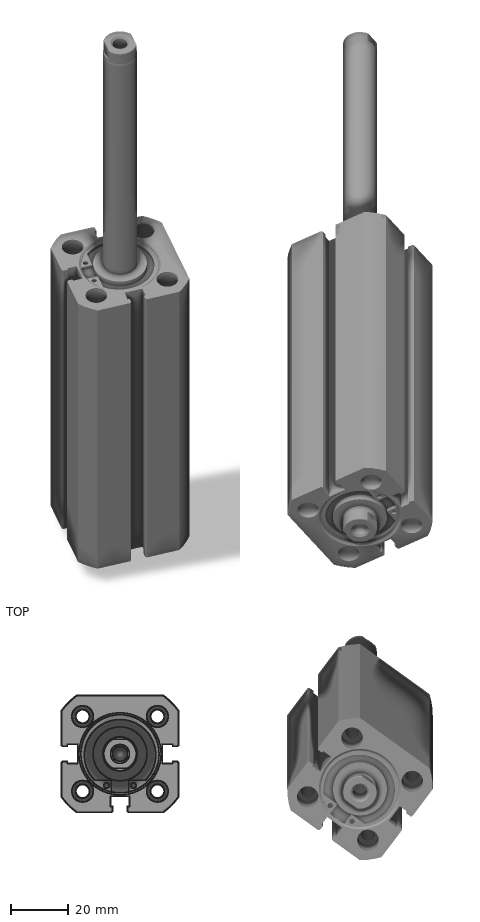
import cadquery as cq
import math

rod_length = 235.0
rod_diameter = 12.0
neck_diameter = 11.8
rod_radius = rod_diameter / 2
neck_radius = neck_diameter / 2
neck_length = 5.0
neck_shoulder = 0.7
rod_end_chamfer = 0.2
flat_distance = 10.0
flat_length = 4.0
thread_radius = 2.5
thread_depth = 11.8
thread_chamfer = 0.7
drill_tip_angle = 118.0

body_width = 41.0
body_bottom = 6.0
body_length = 123.4
body_top = body_bottom + body_length
body_middle = body_bottom + body_length / 2
half_width = body_width / 2
corner_radius = 25.4

slot_opening = 5.2
slot_width = 6.5
slot_lip = 2.0
slot_mouth_chamfer = 0.5
slot_depth = 5.6

screw_spacing = 26.0
screw_hole_diameter = 4.7
counterbore_diameter = 7.5
counterbore_depth = 10.0

bore_radius = 13.6
bore_chamfer = 0.7
groove_diameter = 29.4
groove_radius = groove_diameter / 2
groove_width = 1.5
groove_inset = 0.82
groove_bottom = body_top - groove_inset - groove_width

collar_length = 14.0
boss_radius = 9.5
boss_height = body_top - groove_bottom
ring_inner_radius = 12.5
ring_inner_y = -0.5
ring_gap = 6.0
ear_outer_radius = 13.5
ear_inner_y = -9.2
ear_end_x = 10.0
ear_hole_x = 4.7
ear_hole_y = -11.0
ear_hole_diameter = 1.9


def cylinder(radius, bottom, height):
    return cq.Workplane("XY").workplane(offset=bottom).circle(radius).extrude(height)


def revolve_outline(points):
    """Turn an outline of (radius, height) points about the Z axis."""
    return cq.Workplane("XZ").polyline(points).close().revolve(360, (0, 0, 0), (0, 1, 0))


def at_both_ends(upper, middle):
    """Return a shape and its mirror image below the height `middle`."""
    return [upper, upper.mirror("XY", (0, 0, middle))]


def make_slot():
    """Cutter for a slot in the -Y side: chamfered mouth, narrow lip, wider channel."""
    opening = slot_opening / 2
    mouth = opening + slot_mouth_chamfer
    channel = slot_width / 2
    outer_y = -half_width
    lip_y = outer_y + slot_lip
    floor_y = outer_y + slot_depth
    right_side = [
        (mouth, outer_y),
        (opening, outer_y + slot_mouth_chamfer),
        (opening, lip_y),
        (channel, lip_y),
        (channel, floor_y),
    ]
    left_side = [(-x, y) for x, y in reversed(right_side)]
    outline = cq.Workplane("XY").workplane(offset=body_bottom).polyline(right_side + left_side)
    return outline.close().extrude(body_length)


def make_bore():
    """Cutter for the bore, its end chamfers and the two ring grooves."""
    bore = cylinder(bore_radius, body_bottom, body_length)
    mouth_outline = [
        (0, body_top - bore_chamfer),
        (bore_radius, body_top - bore_chamfer),
        (bore_radius + bore_chamfer, body_top),
        (0, body_top),
    ]
    mouth = revolve_outline(mouth_outline)
    groove = cylinder(groove_radius, groove_bottom, groove_width)
    for cutter in at_both_ends(mouth, body_middle) + at_both_ends(groove, body_middle):
        bore = bore.union(cutter)
    return bore


def corner_cylinders(diameter, bottom, height):
    """Four cylinders, one on each screw axis."""
    plane = cq.Workplane("XY").workplane(offset=bottom)
    corners = plane.rect(screw_spacing, screw_spacing, forConstruction=True).vertices()
    return corners.circle(diameter / 2).extrude(height)


def make_screw_holes():
    """Cutter for four through holes, counterbored from both ends."""
    holes = corner_cylinders(screw_hole_diameter, body_bottom, body_length)
    counterbores = corner_cylinders(counterbore_diameter, body_top - counterbore_depth, counterbore_depth)
    for cutter in at_both_ends(counterbores, body_middle):
        holes = holes.union(cutter)
    return holes


def make_housing():
    block = cq.Workplane("XY").box(body_width, body_width, body_length)
    block = block.translate((0, 0, body_middle))
    block = block.intersect(cylinder(corner_radius, body_bottom, body_length))
    block = block.cut(make_bore()).cut(make_screw_holes())
    for angle in (-90, 0, 90):
        block = block.cut(make_slot().rotate((0, 0, 0), (0, 0, 1), angle))
    return block


def make_rod():
    """Rod with a necked, flatted and tapped end at each end."""
    middle = rod_length / 2
    shoulder_z = rod_length - neck_length
    tip_height = thread_radius / math.tan(math.radians(drill_tip_angle / 2))
    half_outline = [
        (0, middle),
        (rod_radius, middle),
        (rod_radius, shoulder_z - neck_shoulder),
        (neck_radius, shoulder_z),
        (neck_radius, rod_length - rod_end_chamfer),
        (neck_radius - rod_end_chamfer, rod_length),
        (thread_radius + thread_chamfer, rod_length),
        (thread_radius, rod_length - thread_chamfer),
        (thread_radius, rod_length - thread_depth),
        (0, rod_length - thread_depth - tip_height),
    ]
    half = revolve_outline(half_outline)
    for side in (-1, 1):
        flat = cq.Workplane("XY").box(2 * rod_radius, rod_radius, flat_length)
        flat_y = side * (flat_distance + rod_radius) / 2
        half = half.cut(flat.translate((0, flat_y, rod_length - flat_length / 2)))
    upper, lower = at_both_ends(half, middle)
    return upper.union(lower)


def make_collar():
    """Upper collar: a disc under the retaining ring, with a boss level with the housing end."""
    disc_bottom = groove_bottom - collar_length
    disc = cylinder(bore_radius, disc_bottom, collar_length)
    boss = cylinder(boss_radius, groove_bottom, boss_height)
    rod_hole = cylinder(rod_radius, disc_bottom, collar_length + boss_height)
    return disc.union(boss).cut(rod_hole)


def make_retaining_ring():
    """Upper retaining ring: open towards -Y, with an eared tip on each side of the gap."""
    plane = cq.Workplane("XY").workplane(offset=groove_bottom)
    ring = cylinder(groove_radius, groove_bottom, groove_width)
    opening = cylinder(ring_inner_radius, groove_bottom, groove_width)
    ring = ring.cut(opening.translate((0, ring_inner_y, 0)))
    ear_height = ear_outer_radius + ear_inner_y
    ears = plane.center(0, ear_inner_y - ear_height / 2).rect(2 * ear_end_x, ear_height).extrude(groove_width)
    ears = ears.intersect(cylinder(ear_outer_radius, groove_bottom, groove_width))
    gap = plane.center(0, -groove_radius / 2).rect(ring_gap, groove_radius).extrude(groove_width)
    hole_centres = [(-ear_hole_x, ear_hole_y), (ear_hole_x, ear_hole_y)]
    ear_holes = plane.pushPoints(hole_centres).circle(ear_hole_diameter / 2).extrude(groove_width)
    return ring.union(ears).cut(gap).cut(ear_holes)


housing = make_housing()
rod = make_rod()
collars = at_both_ends(make_collar(), body_middle)
retaining_rings = at_both_ends(make_retaining_ring(), body_middle)

result = cq.Compound.makeCompound([
    housing.val(),
    rod.val(),
    *[collar.val() for collar in collars],
    *[ring.val() for ring in retaining_rings],
])